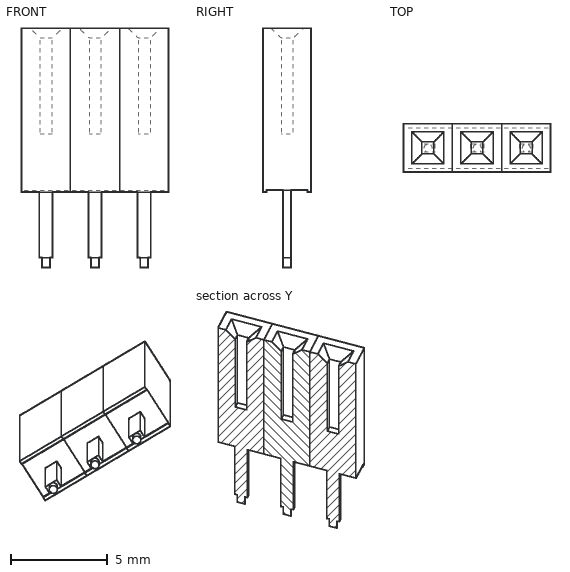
import cadquery as cq

overall_length = 7.63
overall_height = 12.4
module_count = 3
pitch = overall_length / module_count

housing_depth = 2.5
housing_height = 8.5
housing_top = overall_height
housing_bottom = housing_top - housing_height

foot_height = 0.11
foot_width = 0.2
channel_depth = housing_depth - 2 * foot_width
channel_roof = housing_bottom + foot_height

funnel_mouth = 1.66
funnel_depth = 0.5
socket_width = 0.62
socket_depth = 4.96
funnel_floor = housing_top - funnel_depth

blade_width = 0.7
tip_diameter = 0.42
blade_thickness = tip_diameter
tip_length = 0.52


def make_housing():
    """Rectangular block with the channel cut along its underside."""
    block = (
        cq.Workplane("XY", origin=(0, 0, housing_bottom))
        .rect(pitch, housing_depth)
        .extrude(housing_height)
    )
    channel = (
        cq.Workplane("XY", origin=(0, 0, housing_bottom))
        .rect(pitch, channel_depth)
        .extrude(foot_height)
    )
    return block.cut(channel)


def make_opening():
    """Funnel and blind socket to be removed from the housing top."""
    funnel = (
        cq.Workplane("XY", origin=(0, 0, housing_top))
        .rect(funnel_mouth, funnel_mouth)
        .workplane(offset=-funnel_depth)
        .rect(socket_width, socket_width)
        .loft(ruled=True)
    )
    socket = (
        cq.Workplane("XY", origin=(0, 0, funnel_floor))
        .rect(socket_width, socket_width)
        .extrude(-socket_depth)
    )
    return funnel.union(socket)


def make_tail():
    """Round tip standing on Z = 0 with the flat blade rising to the channel roof."""
    tip = cq.Workplane("XY").circle(tip_diameter / 2).extrude(tip_length)
    blade = (
        cq.Workplane("XY", origin=(0, 0, tip_length))
        .rect(blade_width, blade_thickness)
        .extrude(channel_roof - tip_length)
    )
    return tip.union(blade)


def make_module(x_center):
    """One socket module, with its tail joined to the housing."""
    module = make_housing().cut(make_opening()).union(make_tail())
    return module.translate((x_center, 0, 0))


modules = []
for index in range(module_count):
    x_center = (index - (module_count - 1) / 2) * pitch
    modules.append(make_module(x_center).solids().val())

result = cq.Compound.makeCompound(modules)